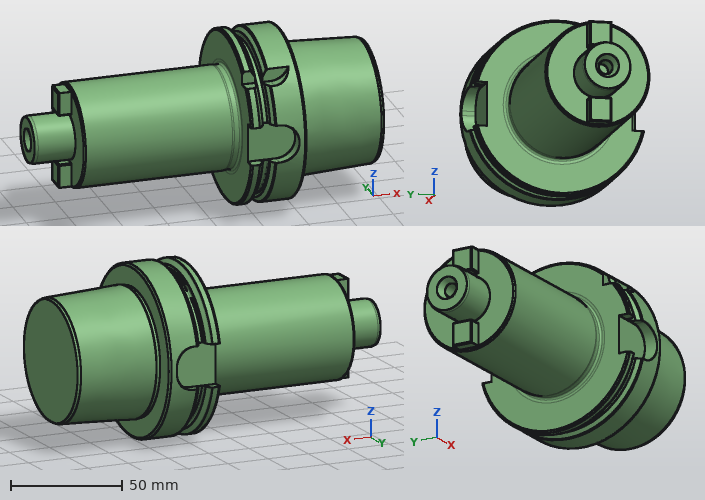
import cadquery as cq
import math

total_length = 159.0

pilot_radius = 22.0 / 2
pilot_chamfer_length = 1.6
pilot_chamfer_depth = 0.5
center_mouth_radius = 10.5 / 2
center_bore_radius = 3.2
center_half_angle = math.radians(30)
center_bore_end = 12.7

shank_radius = 48.0 / 2
shank_start = 19.1
shank_chamfer = 0.8
neck_radius = 47.5 / 2
neck_start = 88.9
neck_step_length = 1.0
neck_fillet = 1.0
undercut_depth = 0.2
undercut_radius = 26.0

flange_radius = 80.0 / 2
flange_start = 93.0
flange_end = 119.0
flange_front_chamfer = 0.8
flange_rear_chamfer = 1.0
groove_mouth_start = 97.0
groove_mouth_end = 104.8
groove_break_length = 0.5
groove_break_depth = 0.3
groove_wall_start = 99.2
groove_wall_end = 102.7
groove_wall_radius = 37.5
groove_floor_radius = 35.3
groove_floor_fillet = 0.6

relief_radius = 60.3 / 2
taper_start = 120.7
taper_lead = 0.3
taper_radius = 30.5
taper_slope = 1 / 20
taper_end_chamfer_length = 1.5
taper_end_chamfer_depth = 0.6

key_front = 13.0
key_width = 10.0
key_inner = 11.8
key_outer = 22.9
key_chamfer = 0.5

cutter_diameter = 18.0
cutter_radius = cutter_diameter / 2
cutout_center_x = 106.4
slot_floor = 33.5
wide_slot_width = 20.0
notch_wall = 25.1
notch_floor = 25.1


def make_turned_body():
    undercut_face = flange_start + undercut_depth
    neck_end = undercut_face - neck_fillet
    taper_full = taper_start + taper_lead
    taper_chamfer_start = total_length - taper_end_chamfer_length
    taper_end_radius = taper_radius - taper_slope * (taper_chamfer_start - taper_full)
    profile = (
        cq.Workplane("XY")
        .moveTo(0, 0)
        .lineTo(0, pilot_radius - pilot_chamfer_depth)
        .lineTo(pilot_chamfer_length, pilot_radius)
        .lineTo(shank_start, pilot_radius)
        .lineTo(shank_start, shank_radius - shank_chamfer)
        .lineTo(shank_start + shank_chamfer, shank_radius)
        .lineTo(neck_start, shank_radius)
        .lineTo(neck_start + neck_step_length, neck_radius)
        .lineTo(neck_end, neck_radius)
        .radiusArc((undercut_face, neck_radius + neck_fillet), -neck_fillet)
        .lineTo(flange_start, undercut_radius)
        .lineTo(flange_start, flange_radius - flange_front_chamfer)
        .lineTo(flange_start + flange_front_chamfer, flange_radius)
        .lineTo(groove_mouth_start, flange_radius)
        .lineTo(groove_mouth_start + groove_break_length, flange_radius - groove_break_depth)
        .lineTo(groove_wall_start, groove_wall_radius)
        .lineTo(groove_wall_start, groove_floor_radius + groove_floor_fillet)
        .radiusArc((groove_wall_start + groove_floor_fillet, groove_floor_radius), -groove_floor_fillet)
        .lineTo(groove_wall_end - groove_floor_fillet, groove_floor_radius)
        .radiusArc((groove_wall_end, groove_floor_radius + groove_floor_fillet), -groove_floor_fillet)
        .lineTo(groove_wall_end, groove_wall_radius)
        .lineTo(groove_mouth_end - groove_break_length, flange_radius - groove_break_depth)
        .lineTo(groove_mouth_end, flange_radius)
        .lineTo(flange_end - flange_rear_chamfer, flange_radius)
        .lineTo(flange_end, flange_radius - flange_rear_chamfer)
        .lineTo(flange_end, relief_radius)
        .lineTo(taper_start, relief_radius)
        .lineTo(taper_full, taper_radius)
        .lineTo(taper_chamfer_start, taper_end_radius)
        .lineTo(total_length, taper_end_radius - taper_end_chamfer_depth)
        .lineTo(total_length, 0)
        .close()
    )
    return profile.revolve(360, (0, 0, 0), (1, 0, 0))


def make_center_hole():
    cone_depth = (center_mouth_radius - center_bore_radius) / math.tan(center_half_angle)
    profile = (
        cq.Workplane("XY")
        .moveTo(0, 0)
        .lineTo(0, center_mouth_radius)
        .lineTo(cone_depth, center_bore_radius)
        .lineTo(center_bore_end, center_bore_radius)
        .lineTo(center_bore_end, 0)
        .close()
    )
    return profile.revolve(360, (0, 0, 0), (1, 0, 0))


def make_key(side):
    """Drive key above (side = 1) or below (side = -1) the axis, its root sunk into the shank."""
    length = shank_start + shank_chamfer - key_front
    height = key_outer - key_inner
    inner_face = "<Z" if side > 0 else ">Z"
    return (
        cq.Workplane("XY")
        .box(length, key_width, height)
        .edges(f"<X or ({inner_face} and |X)")
        .chamfer(key_chamfer)
        .translate((key_front + length / 2, 0, side * (key_inner + key_outer) / 2))
    )


def make_slot(side, width):
    """Slot open to the flange front on the +Y (side = 1) or -Y (side = -1) rim, with a round-cornered end."""
    half_width = width / 2
    half_flat = half_width - cutter_radius
    slot_end = cutout_center_x + cutter_radius
    outline = (
        cq.Workplane("XZ", origin=(0, side * slot_floor, 0))
        .moveTo(flange_start, -half_width)
        .lineTo(cutout_center_x, -half_width)
        .radiusArc((slot_end, -half_flat), -cutter_radius)
    )
    if half_flat > 0:
        outline = outline.lineTo(slot_end, half_flat)
    outline = (
        outline.radiusArc((cutout_center_x, half_width), -cutter_radius)
        .lineTo(flange_start, half_width)
        .close()
    )
    return outline.extrude(-side * (flange_radius - slot_floor))


def make_notch():
    """Corner notch in the -Y, +Z part of the rim, its floor rising in an arc at the end."""
    slot_end = cutout_center_x + cutter_radius
    length = slot_end - flange_start
    size = flange_radius - notch_wall
    height = flange_radius - notch_floor
    return (
        cq.Workplane("XY")
        .box(length, size, height)
        .edges(">X and <Z")
        .fillet(cutter_radius)
        .translate((flange_start + length / 2, -notch_wall - size / 2, notch_floor + height / 2))
    )


result = make_turned_body()
for key_side in (1, -1):
    result = result.union(make_key(key_side))
result = (
    result.cut(make_center_hole())
    .cut(make_slot(1, wide_slot_width))
    .cut(make_slot(-1, cutter_diameter))
    .cut(make_notch())
)